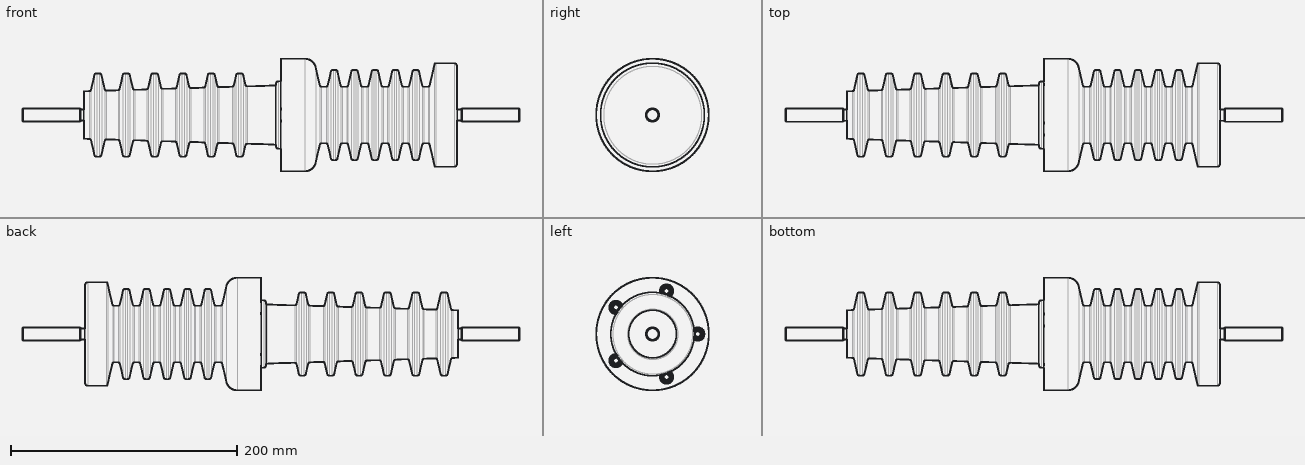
import cadquery as cq
import math


ROD_LENGTH = 440.0
ROD_DIAMETER = 12.0
ROD_END_LENGTH = 52.0
NECK_DIAMETER = 10.0
ROD_CHAMFER = 1.0

BODY_START = 54.5
BODY_LENGTH = 330.0
BODY_END = BODY_START + BODY_LENGTH

TAPER_START_RADIUS = 42.2 / 2
TAPER_END_RADIUS = 53.0 / 2
REAR_CORE_RADIUS = 50.0 / 2

FLANK_SLOPE = 0.23
SHED_TIP_FILLET = 2.0
SHED_ROOT_FILLET = 1.5
FRONT_SHED_COUNT = 6
FRONT_SHED_RADIUS = 74.0 / 2
FRONT_SHED_FIRST = 67.0
FRONT_SHED_PITCH = 25.0
FRONT_SHED_TIP_WIDTH = 5.5
REAR_SHED_COUNT = 5
REAR_SHED_RADIUS = 80.0 / 2
REAR_SHED_FIRST = 276.0
REAR_SHED_PITCH = 18.0
REAR_SHED_TIP_WIDTH = 5.5

FLANGE_RADIUS = 100.0 / 2
FLANGE_START = 229.0
FLANGE_WIDTH = 29.0
FLANGE_REAR_FILLET = 10.0
COLLAR_RADIUS = 60.0 / 2
COLLAR_WIDTH = 4.5
COLLAR_FILLET = 2.0
COLLAR_ROOT_FILLET = 1.0

DISC_RADIUS = 92.0 / 2
DISC_WIDTH = 20.0
DISC_FRONT_FILLET = 1.5
DISC_REAR_FILLET = 2.5

INSERT_COUNT = 5
INSERT_DIAMETER = 12.0
INSERT_DEPTH = 17.5
INSERT_CIRCLE_RADIUS = 40.0
COUNTERSINK_DIAMETER = 10.0
RECESS_DIAMETER = 9.0
RECESS_DEPTH = 1.0
HOLE_DIAMETER = 5.0
HOLE_CHAMFER = 1.0
HOLE_DEPTH = 13.0
DRILL_TIP_ANGLE = 118
COUNTERSINK_DEPTH = (COUNTERSINK_DIAMETER - RECESS_DIAMETER) / 2
DRILL_TIP_LENGTH = HOLE_DIAMETER / 2 / math.tan(math.radians(DRILL_TIP_ANGLE / 2))

TAPER_END = FLANGE_START - COLLAR_WIDTH


def toward(start, end, distance):
    """The point that lies the given distance from start on the way to end."""
    share = distance / math.dist(start, end)
    return (start[0] + share * (end[0] - start[0]), start[1] + share * (end[1] - start[1]))


def turned(corners):
    """Solid of revolution about X from (x, radius, fillet) corners."""
    points = [(x, radius) for x, radius, _ in corners]
    outline = cq.Workplane("XY").moveTo(*points[0])
    for index in range(1, len(corners)):
        corner = points[index]
        fillet = corners[index][2]
        if fillet == 0:
            outline = outline.lineTo(*corner)
            continue
        before = points[index - 1]
        after = points[index + 1]
        angle_before = math.atan2(before[1] - corner[1], before[0] - corner[0])
        angle_after = math.atan2(after[1] - corner[1], after[0] - corner[0])
        half_angle = math.acos(math.cos(angle_before - angle_after)) / 2
        tangent_length = fillet / math.tan(half_angle)
        arc_start = toward(corner, before, tangent_length)
        arc_end = toward(corner, after, tangent_length)
        chord_middle = ((arc_start[0] + arc_end[0]) / 2, (arc_start[1] + arc_end[1]) / 2)
        arc_middle = toward(corner, chord_middle, fillet / math.sin(half_angle) - fillet)
        outline = outline.lineTo(*arc_start).threePointArc(arc_middle, arc_end)
    return outline.close().revolve(360, (0, 0, 0), (1, 0, 0))


def taper_radius(x):
    """Radius of the tapered core at the given X."""
    share = (x - BODY_START) / (TAPER_END - BODY_START)
    return TAPER_START_RADIUS + share * (TAPER_END_RADIUS - TAPER_START_RADIUS)


def rear_core_radius(x):
    """Radius of the straight core, the same at every X."""
    return REAR_CORE_RADIUS


def shed_row(first, pitch, count, tip_radius, tip_width, core_radius):
    """Corners of a row of sheds that stand on a core of the given radius function."""
    corners = []
    for index in range(count):
        middle = first + index * pitch
        half_tip = tip_width / 2
        half_root = half_tip + FLANK_SLOPE * (tip_radius - core_radius(middle))
        corners += [
            (middle - half_root, core_radius(middle - half_root), SHED_ROOT_FILLET),
            (middle - half_tip, tip_radius, SHED_TIP_FILLET),
            (middle + half_tip, tip_radius, SHED_TIP_FILLET),
            (middle + half_root, core_radius(middle + half_root), SHED_ROOT_FILLET),
        ]
    return corners


def make_insulator():
    """Shedded body with its flange and contact disc, bored for the rod and the inserts."""
    flange_rim_end = FLANGE_START + FLANGE_WIDTH
    flange_root = flange_rim_end + FLANK_SLOPE * (FLANGE_RADIUS - REAR_CORE_RADIUS)
    disc_rim_start = BODY_END - DISC_WIDTH
    disc_root = disc_rim_start - FLANK_SLOPE * (DISC_RADIUS - REAR_CORE_RADIUS)
    front_sheds = shed_row(FRONT_SHED_FIRST, FRONT_SHED_PITCH, FRONT_SHED_COUNT,
                           FRONT_SHED_RADIUS, FRONT_SHED_TIP_WIDTH, taper_radius)
    rear_sheds = shed_row(REAR_SHED_FIRST, REAR_SHED_PITCH, REAR_SHED_COUNT,
                          REAR_SHED_RADIUS, REAR_SHED_TIP_WIDTH, rear_core_radius)
    body = turned([
        (BODY_START, 0, 0),
        (BODY_START, TAPER_START_RADIUS, 0),
        *front_sheds,
        (TAPER_END, TAPER_END_RADIUS, COLLAR_ROOT_FILLET),
        (TAPER_END, COLLAR_RADIUS, COLLAR_FILLET),
        (FLANGE_START, COLLAR_RADIUS, 0),
        (FLANGE_START, FLANGE_RADIUS, 0),
        (flange_rim_end, FLANGE_RADIUS, FLANGE_REAR_FILLET),
        (flange_root, REAR_CORE_RADIUS, SHED_ROOT_FILLET),
        *rear_sheds,
        (disc_root, REAR_CORE_RADIUS, SHED_ROOT_FILLET),
        (disc_rim_start, DISC_RADIUS, DISC_FRONT_FILLET),
        (BODY_END, DISC_RADIUS, DISC_REAR_FILLET),
        (BODY_END, 0, 0),
    ])
    rod_bore = (
        cq.Workplane("YZ", origin=(BODY_START, 0, 0))
        .circle(NECK_DIAMETER / 2)
        .extrude(BODY_LENGTH)
    )
    insert_pockets = (
        cq.Workplane("YZ", origin=(FLANGE_START, 0, 0))
        .pushPoints(insert_centres())
        .circle(INSERT_DIAMETER / 2)
        .extrude(INSERT_DEPTH)
    )
    return body.cut(rod_bore).cut(insert_pockets)


def make_rod():
    """Conductor rod with chamfered thick ends and a thinner middle."""
    end_radius = ROD_DIAMETER / 2
    tip_radius = end_radius - ROD_CHAMFER
    neck_radius = NECK_DIAMETER / 2
    shoulder_chamfer = end_radius - neck_radius
    front_half = [
        (0, tip_radius),
        (ROD_CHAMFER, end_radius),
        (ROD_END_LENGTH - shoulder_chamfer, end_radius),
        (ROD_END_LENGTH, neck_radius),
    ]
    rear_half = [(ROD_LENGTH - x, radius) for x, radius in reversed(front_half)]
    profile = [(0, 0), *front_half, *rear_half, (ROD_LENGTH, 0)]
    return turned([(x, radius, 0) for x, radius in profile])


def insert_centres():
    """Y and Z of the insert centres, the first one on the -Y side."""
    angles = [math.pi + index * 2 * math.pi / INSERT_COUNT for index in range(INSERT_COUNT)]
    return [(INSERT_CIRCLE_RADIUS * math.cos(a), INSERT_CIRCLE_RADIUS * math.sin(a)) for a in angles]


def make_insert(y, z):
    """Insert, flush with the flange face, with a blind hole in a countersunk recess."""
    insert = turned([
        (0, COUNTERSINK_DIAMETER / 2, 0),
        (0, INSERT_DIAMETER / 2, 0),
        (INSERT_DEPTH, INSERT_DIAMETER / 2, 0),
        (INSERT_DEPTH, 0, 0),
        (HOLE_DEPTH + DRILL_TIP_LENGTH, 0, 0),
        (HOLE_DEPTH, HOLE_DIAMETER / 2, 0),
        (RECESS_DEPTH + HOLE_CHAMFER, HOLE_DIAMETER / 2, 0),
        (RECESS_DEPTH, HOLE_DIAMETER / 2 + HOLE_CHAMFER, 0),
        (RECESS_DEPTH, RECESS_DIAMETER / 2, 0),
        (COUNTERSINK_DEPTH, RECESS_DIAMETER / 2, 0),
    ])
    return insert.translate((FLANGE_START, y, z))


insulator = make_insulator()
rod = make_rod()
inserts = [make_insert(y, z) for y, z in insert_centres()]

result = cq.Compound.makeCompound([
    insulator.val(),
    rod.val(),
    *[insert.val() for insert in inserts],
])